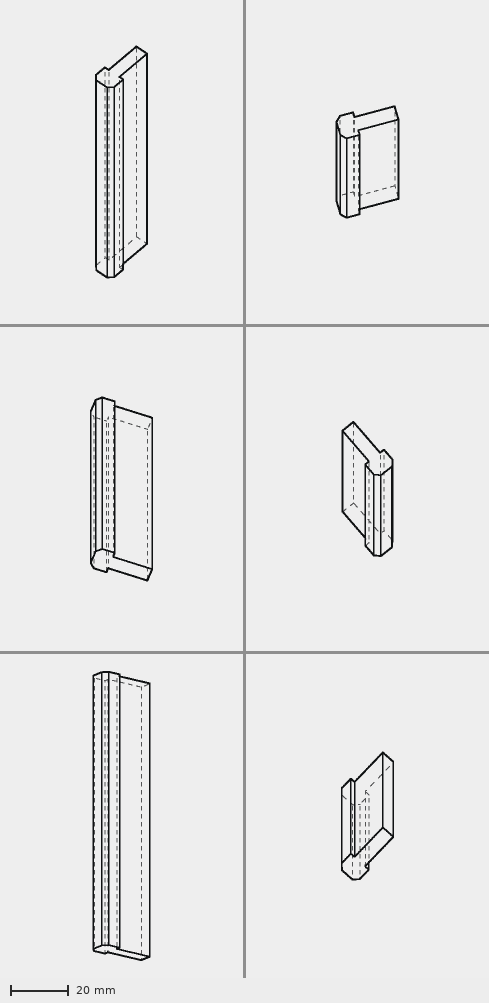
import cadquery as cq

length = 100.0
depth = 21.0
head_width = 8.5
head_depth = 6.5
stem_width = 5.0
chamfer = (head_width - stem_width) / 2

head = (
    cq.Workplane("XY")
    .box(head_width, head_depth, length, centered=(True, False, False))
    .faces("<Y")
    .edges("|Z")
    .chamfer(chamfer)
)

stem = (
    cq.Workplane("XY")
    .box(stem_width, depth - head_depth, length, centered=(True, False, False))
    .translate((0, head_depth, 0))
)

result = head.union(stem)